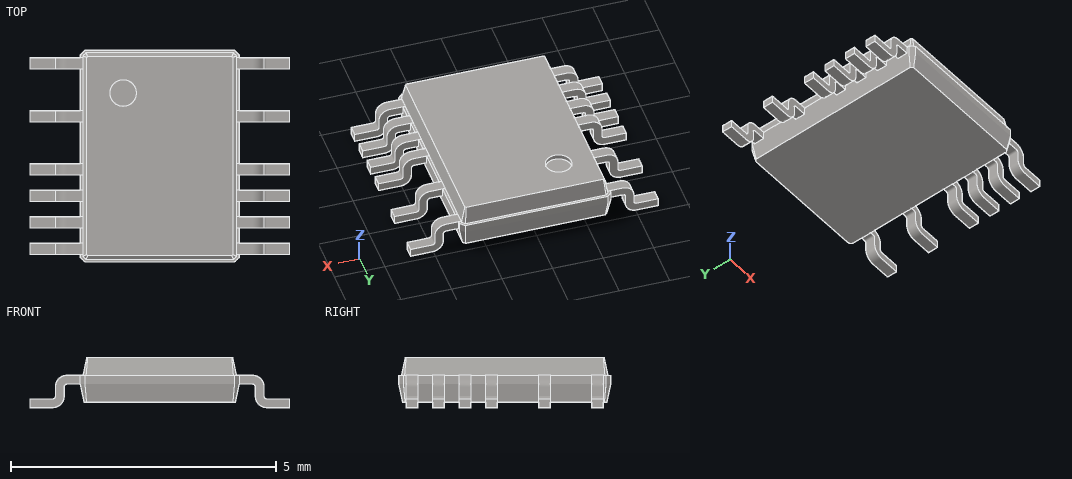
import cadquery as cq
import math

SPAN = 4.9
BODY_WIDTH = 3.0
BODY_LENGTH = 4.0
BODY_BOTTOM = 0.1
BODY_TOP = 0.95
DRAFT_ANGLE = 12.0
UPPER_STEP = 0.05
CORNER_CHAMFER = 0.09

LEAD_THICKNESS = 0.17
LEAD_WIDTH = 0.22
BEND_INNER_RADIUS = 0.05
BEND_OUTER_RADIUS = BEND_INNER_RADIUS + LEAD_THICKNESS
FOOT_LENGTH = 0.65
LEAD_RISE = 0.005
LEAD_EMBED = 0.1
PITCH = 0.5
POSITIONS_PER_SIDE = 8
EMPTY_POSITIONS = (1, 3)

MARK_DIAMETER = 0.5
MARK_DEPTH = 0.1
MARK_X = -0.69
MARK_Y = 1.19

BAND_BOTTOM = (BODY_BOTTOM + BODY_TOP - LEAD_THICKNESS) / 2
BAND_TOP = BAND_BOTTOM + LEAD_THICKNESS
SHOULDER_BOTTOM = BAND_BOTTOM + LEAD_RISE
SHOULDER_TOP = BAND_TOP + LEAD_RISE


def chamfered_section(inset, z):
    """Outline of the body at height z, offset inward from the band by inset on every edge."""
    chamfer = CORNER_CHAMFER - (2 - math.sqrt(2)) * inset
    return (
        cq.Sketch()
        .rect(BODY_WIDTH - 2 * inset, BODY_LENGTH - 2 * inset)
        .vertices()
        .chamfer(chamfer)
        .moved(cq.Location(cq.Vector(0, 0, z)))
    )


def body_layer(lower_inset, lower_z, upper_inset, upper_z):
    """Straight-walled solid between two body sections."""
    lower = chamfered_section(lower_inset, lower_z)
    upper = chamfered_section(upper_inset, upper_z)
    return cq.Workplane("XY").placeSketch(lower, upper).loft(ruled=True)


def make_body():
    """Moulded body: drafted lower half, straight band, stepped and drafted upper half."""
    slope = math.tan(math.radians(DRAFT_ANGLE))
    bottom_inset = slope * (BAND_BOTTOM - BODY_BOTTOM)
    top_inset = UPPER_STEP + slope * (BODY_TOP - BAND_TOP)
    lower = body_layer(bottom_inset, BODY_BOTTOM, 0, BAND_BOTTOM)
    band = body_layer(0, BAND_BOTTOM, 0, BAND_TOP)
    upper = body_layer(UPPER_STEP, BAND_TOP, top_inset, BODY_TOP)
    return lower.union(band).union(upper)


def make_lead(y):
    """Gull-wing lead on the -X side, centred at y."""
    tip = -SPAN / 2
    riser_inner = tip + FOOT_LENGTH
    riser_outer = riser_inner - LEAD_THICKNESS
    root = -BODY_WIDTH / 2 + LEAD_EMBED
    foot_bend_x = riser_outer - BEND_INNER_RADIUS
    foot_bend_z = BEND_OUTER_RADIUS
    shoulder_bend_x = riser_inner + BEND_INNER_RADIUS
    shoulder_bend_z = SHOULDER_TOP - BEND_OUTER_RADIUS
    diagonal = math.sqrt(0.5)
    inner_reach = BEND_INNER_RADIUS * diagonal
    outer_reach = BEND_OUTER_RADIUS * diagonal
    profile = (
        cq.Workplane("XZ", origin=(0, y, 0))
        .moveTo(tip, 0)
        .lineTo(foot_bend_x, 0)
        .threePointArc(
            (foot_bend_x + outer_reach, foot_bend_z - outer_reach),
            (riser_inner, foot_bend_z),
        )
        .lineTo(riser_inner, shoulder_bend_z)
        .threePointArc(
            (shoulder_bend_x - inner_reach, shoulder_bend_z + inner_reach),
            (shoulder_bend_x, SHOULDER_BOTTOM),
        )
        .lineTo(root, SHOULDER_BOTTOM)
        .lineTo(root, SHOULDER_TOP)
        .lineTo(shoulder_bend_x, SHOULDER_TOP)
        .threePointArc(
            (shoulder_bend_x - outer_reach, shoulder_bend_z + outer_reach),
            (riser_outer, shoulder_bend_z),
        )
        .lineTo(riser_outer, foot_bend_z)
        .threePointArc(
            (foot_bend_x + inner_reach, foot_bend_z - inner_reach),
            (foot_bend_x, LEAD_THICKNESS),
        )
        .lineTo(tip, LEAD_THICKNESS)
        .close()
    )
    return profile.extrude(LEAD_WIDTH / 2, both=True)


def add_leads(body):
    """Join matching leads to the -X and +X sides at every occupied position."""
    first_y = PITCH * (POSITIONS_PER_SIDE - 1) / 2
    for position in range(POSITIONS_PER_SIDE):
        if position in EMPTY_POSITIONS:
            continue
        lead = make_lead(first_y - position * PITCH)
        body = body.union(lead).union(lead.mirror("YZ"))
    return body


def cut_pin_mark(body):
    """Round blind recess in the top face near pin 1."""
    mark = (
        cq.Workplane("XY", origin=(MARK_X, MARK_Y, BODY_TOP))
        .circle(MARK_DIAMETER / 2)
        .extrude(-MARK_DEPTH)
    )
    return body.cut(mark)


result = cut_pin_mark(add_leads(make_body()))